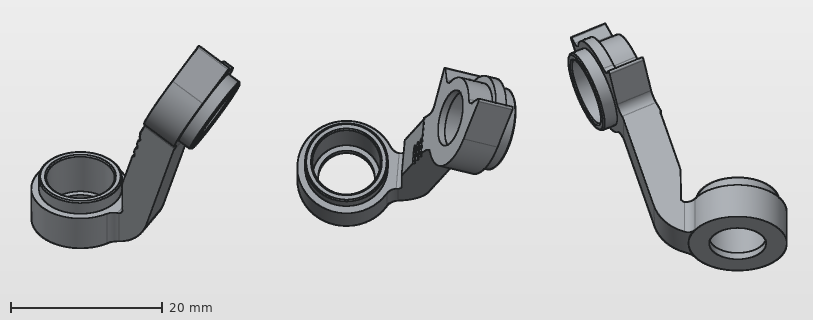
import cadquery as cq
import math

arm_heading = 16.1

collar_radius = 6.5
collar_depth = 5.0
spigot_radius = 5.5
spigot_height = 2.0
bore_radius = 4.5
lip_radius = 3.75
lip_thickness = 1.0
spigot_chamfer = 0.2

arm_width = 5.0
arm_thickness = 5.0
arm_lean = 16.3
riser_x = 7.5
riser_top_z = 10.19
heel_radius = 6.3
riser_fillet = 0.75
bend_radius = 1.0
upper_bend_radius = 2.0
side_fillet = 1.6

ring_lean = 25.6875
ring_x = 13.79
ring_z = 27.18

ear_tip_radius = 9.0
upper_ear_angle = 1.9
side_ear_angle = 111.0
relief_radius = 5.5
relief_depth = 3.5
ear_root_fillet = 1.1
ear_tip_fillet = 0.2644

groove_count = 3
groove_radius = 0.5
groove_depth = 0.255
groove_pitch = 1.5
groove_length = 2.5
first_groove_distance = 5.62

half_width = arm_width / 2
fillet_end = math.sqrt((collar_radius + side_fillet) ** 2 - (half_width + side_fillet) ** 2)

lean = math.radians(ring_lean)
arm_rise = math.radians(arm_lean)
arm_tan = math.tan(arm_rise)
ring_tan = math.tan(lean)
ring_plane = cq.Plane(
    origin=(ring_x, 0, ring_z),
    xDir=(0, 1, 0),
    normal=(math.cos(lean), 0, -math.sin(lean)),
)

upper_bend_z = (riser_x - riser_top_z * arm_tan - ring_x + ring_z * ring_tan) / (ring_tan - arm_tan)
upper_bend_x = riser_x + (upper_bend_z - riser_top_z) * arm_tan


def polar(radius, angle):
    """Point at an angle measured clockwise from +Y, turning toward +X."""
    a = math.radians(angle)
    return (radius * math.sin(a), radius * math.cos(a))


def fillet_nearest(body, place, radius):
    """Round the edge whose centre lies nearest to a place."""
    return body.edges(cq.selectors.NearestToPointSelector(place)).fillet(radius)


def on_ring(body):
    """Move a body modelled flat on XY into the leaning plane of the upper ring."""
    return cq.Workplane(body.val().moved(cq.Location(ring_plane)))


def spigot():
    """Raised rim standing on the back of a collar, with its outer edge broken."""
    return (
        cq.Workplane("XY")
        .workplane(offset=collar_depth)
        .circle(spigot_radius)
        .extrude(spigot_height)
        .faces(">Z")
        .edges()
        .chamfer(spigot_chamfer)
    )


def bore():
    """Stepped bore: a narrow lip at the face, then a wide bore with a broken mouth."""
    total = collar_depth + spigot_height
    profile = [
        (0, 0),
        (lip_radius, 0),
        (lip_radius, lip_thickness),
        (bore_radius, lip_thickness),
        (bore_radius, total - spigot_chamfer),
        (bore_radius + spigot_chamfer, total),
        (0, total),
    ]
    return cq.Workplane("XZ").polyline(profile).close().revolve(360, (0, 0), (0, 1))


def ear_layer(depth, band_radius):
    """Slab of the upper ring with both ears, the neck stub and a band between the ears."""
    tangent_turn = math.degrees(math.acos(collar_radius / ear_tip_radius))
    upper_tip = polar(ear_tip_radius, upper_ear_angle)
    side_tip = polar(ear_tip_radius, side_ear_angle)
    upper_root = polar(band_radius, upper_ear_angle)
    side_root = polar(band_radius, side_ear_angle)
    band_middle = polar(band_radius, (upper_ear_angle + side_ear_angle) / 2)
    upper_tangent = polar(collar_radius, upper_ear_angle - tangent_turn)
    normal = polar(1, side_ear_angle + tangent_turn)
    neck_right = (-half_width, -math.sqrt(collar_radius**2 - half_width**2))
    neck_left = (half_width, (collar_radius - normal[0] * half_width) / normal[1])
    neck_end = -fillet_end - side_fillet
    slab = (
        cq.Workplane("XY")
        .moveTo(-half_width, neck_end)
        .lineTo(*neck_right)
        .threePointArc((-collar_radius, 0), upper_tangent)
        .lineTo(*upper_tip)
        .lineTo(*upper_root)
        .threePointArc(band_middle, side_root)
        .lineTo(*side_tip)
        .lineTo(*neck_left)
        .lineTo(half_width, neck_end)
        .close()
        .extrude(depth)
    )
    rounds = [
        (neck_right, side_fillet),
        (neck_left, side_fillet),
        (upper_root, ear_root_fillet),
        (side_root, ear_root_fillet),
        (upper_tip, ear_tip_fillet),
        (side_tip, ear_tip_fillet),
    ]
    for corner, radius in rounds:
        slab = fillet_nearest(slab, (corner[0], corner[1], depth / 2), radius)
    return slab


def upper_ring():
    """Eared ring with its spigot, modelled flat with its front face on XY."""
    front = ear_layer(relief_depth, relief_radius)
    back = ear_layer(collar_depth - relief_depth, collar_radius).translate((0, 0, relief_depth))
    return front.union(back).union(spigot())


def arm(width):
    """Side profile of the arm extruded across a width."""
    half_turn = (lean - arm_rise) / 2
    mid = (lean + arm_rise) / 2
    reach = arm_thickness / math.cos(half_turn)
    back_bend = (upper_bend_x + reach * math.cos(mid), upper_bend_z - reach * math.sin(mid))
    heel_x = back_bend[0] - back_bend[1] * arm_tan
    ring_front = ring_plane.toWorldCoords((0, -fillet_end, 0))
    ring_back = ring_plane.toWorldCoords((0, -fillet_end, collar_depth))
    profile = [
        (0, 0),
        (heel_x, 0),
        back_bend,
        (ring_back.x, ring_back.z),
        (ring_front.x, ring_front.z),
        (upper_bend_x, upper_bend_z),
        (riser_x, riser_top_z),
        (riser_x, collar_depth),
        (0, collar_depth),
    ]
    blade = cq.Workplane("XZ").polyline(profile).close().extrude(width / 2, both=True)
    rounds = [
        ((heel_x, 0), heel_radius),
        ((upper_bend_x, upper_bend_z), upper_bend_radius),
        ((riser_x, riser_top_z), bend_radius),
        ((riser_x, collar_depth), riser_fillet),
    ]
    for corner, radius in rounds:
        blade = fillet_nearest(blade, (corner[0], 0, corner[1]), radius)
    return blade


def lower_collar():
    """Lower collar with filleted shoulders where the arm leaves it."""
    root = math.sqrt(collar_radius**2 - half_width**2)
    disc = cq.Workplane("XY").circle(collar_radius).extrude(collar_depth)
    strip_length = fillet_end + riser_fillet
    strip = cq.Workplane("XY").box(strip_length, arm_width, collar_depth, centered=(False, True, False))
    web = disc.union(strip)
    for side in (-half_width, half_width):
        web = fillet_nearest(web, (root, side, collar_depth / 2), side_fillet)
    return disc.union(web.intersect(arm(2 * collar_radius)))


def grooves():
    """Round-ended grooves running in from the -Y side of the arm."""
    cutters = cq.Workplane("XY")
    lift = groove_radius - groove_depth
    end = -half_width + groove_length - groove_radius
    for i in range(groove_count):
        distance = first_groove_distance + i * groove_pitch
        x = riser_x + distance * math.sin(arm_rise) - lift * math.cos(arm_rise)
        z = riser_top_z + distance * math.cos(arm_rise) + lift * math.sin(arm_rise)
        rod = cq.Workplane("XZ", origin=(x, end, z)).circle(groove_radius).extrude(arm_width)
        tip = cq.Workplane("XY").sphere(groove_radius).translate((x, end, z))
        cutters = cutters.union(rod).union(tip)
    return cutters


body = lower_collar().union(arm(arm_width)).union(spigot()).union(on_ring(upper_ring()))
body = body.cut(bore()).cut(on_ring(bore())).cut(grooves())
result = body.rotate((0, 0, 0), (0, 0, 1), arm_heading)